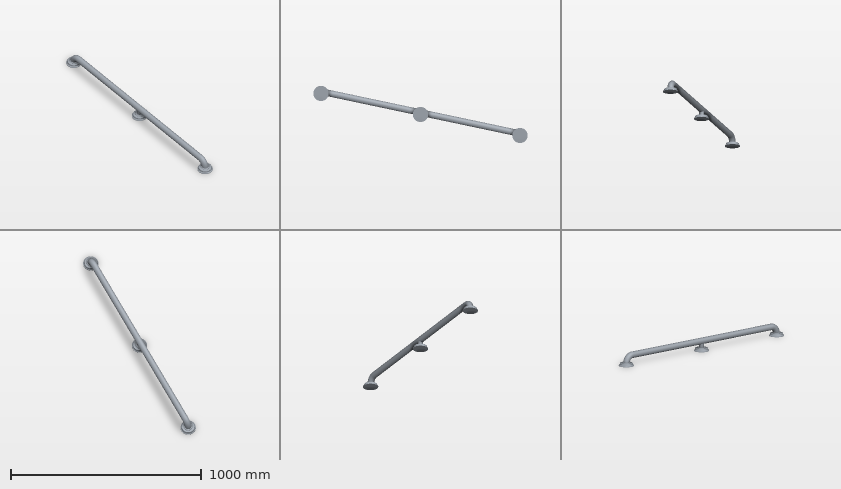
import cadquery as cq

total_length = 1147.0
total_height = 70.0
flange_diameter = 80.0
bar_diameter = 34.0
post_diameter = 25.0
bend_radius = 40.0

rim_height = 3.0
cove_middle_radius = 35.0
cove_middle_height = 7.0
tier_radius = 34.0
tier_foot_height = 11.0
tier_chamfer = 2.0
tier_height = 16.0
collar_radius = 23.0
collar_chamfer = 2.0
flange_height = 20.0

flange_radius = flange_diameter / 2
bar_radius = bar_diameter / 2
axis_height = total_height - bar_radius
end_x = total_length / 2 - flange_radius
straight_end_x = end_x - bend_radius
bend_base_z = axis_height - bend_radius


def make_flange(x):
    """Stepped round mounting flange standing on the base plane."""
    profile = (
        cq.Workplane("XZ")
        .lineTo(flange_radius, 0)
        .lineTo(flange_radius, rim_height)
        .threePointArc((cove_middle_radius, cove_middle_height), (tier_radius, tier_foot_height))
        .lineTo(tier_radius, tier_height - tier_chamfer)
        .lineTo(tier_radius - tier_chamfer, tier_height)
        .lineTo(collar_radius, tier_height)
        .lineTo(collar_radius, flange_height - collar_chamfer)
        .lineTo(collar_radius - collar_chamfer, flange_height)
        .lineTo(0, flange_height)
        .close()
    )
    flange = profile.revolve(360, (0, 0), (0, 1))
    return flange.translate((x, 0, 0))


def make_bar():
    """Straight grip between the two bends."""
    return (
        cq.Workplane("YZ", origin=(-straight_end_x, 0, axis_height))
        .circle(bar_radius)
        .extrude(2 * straight_end_x)
    )


def make_right_bend():
    """Quarter bend turning the bar down into the flange at +X."""
    return (
        cq.Workplane("XY", origin=(end_x, 0, bend_base_z))
        .circle(bar_radius)
        .revolve(90, (-bend_radius, 11, 0), (-bend_radius, 0, 0))
    )


def make_post():
    """Central support reaching from its flange to the bar axis."""
    return cq.Workplane("XY").circle(post_diameter / 2).extrude(axis_height)


right_bend = make_right_bend()
result = make_bar().union(right_bend).union(right_bend.mirror("YZ")).union(make_post())
for flange_x in (-end_x, 0, end_x):
    result = result.union(make_flange(flange_x))